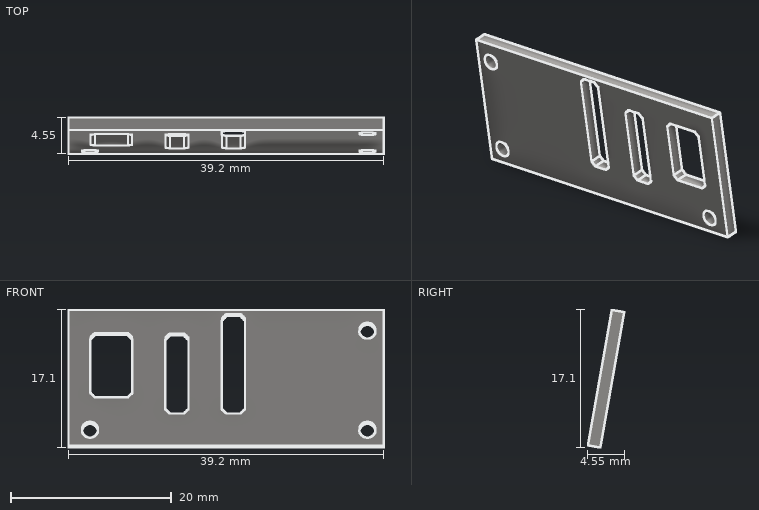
import cadquery as cq

PLATE_LENGTH = 39.23
PLATE_HEIGHT = 17.13
PLATE_THICKNESS = 1.6
LEAN_ANGLE = 10.0

HOLE_DIAMETER = 2.0
LEFT_HOLE_INSET = 2.7
RIGHT_HOLE_INSET = 2.05
LOWER_HOLE_HEIGHT = 2.0
UPPER_HOLE_HEIGHT = 14.5

WINDOW_CHAMFER = 0.55
SLOT_WIDTH = 2.85
SLOT_BOTTOM = 4.05
WIDE_WINDOW = {"center_x": 5.35, "bottom": 6.1, "width": 5.2, "height": 8.1}
SHORT_SLOT = {"center_x": 13.5, "bottom": SLOT_BOTTOM, "width": SLOT_WIDTH, "height": 10.1}
TALL_SLOT = {"center_x": 20.53, "bottom": SLOT_BOTTOM, "width": SLOT_WIDTH, "height": 12.55}


def make_plate():
    """Upright plate: lower left corner at X = Z = 0, thickness along -Y."""
    return cq.Workplane("XZ").rect(PLATE_LENGTH, PLATE_HEIGHT, centered=False).extrude(PLATE_THICKNESS)


def make_window(center_x, bottom, width, height):
    """Through cutter for one rectangular window with 45 degree corners."""
    return (
        cq.Workplane("XZ")
        .center(center_x, bottom + height / 2)
        .rect(width, height)
        .extrude(PLATE_THICKNESS)
        .edges("|Y")
        .chamfer(WINDOW_CHAMFER)
    )


def make_mounting_holes():
    """Through cutters for the three mounting holes."""
    right_hole_x = PLATE_LENGTH - RIGHT_HOLE_INSET
    centers = [
        (LEFT_HOLE_INSET, LOWER_HOLE_HEIGHT),
        (right_hole_x, LOWER_HOLE_HEIGHT),
        (right_hole_x, UPPER_HOLE_HEIGHT),
    ]
    return cq.Workplane("XZ").pushPoints(centers).circle(HOLE_DIAMETER / 2).extrude(PLATE_THICKNESS)


def lean_back(body):
    """Center the upright plate on the origin and tip its top edge toward +Y."""
    centered = body.translate((-PLATE_LENGTH / 2, PLATE_THICKNESS / 2, -PLATE_HEIGHT / 2))
    return centered.rotate((0, 0, 0), (1, 0, 0), -LEAN_ANGLE)


plate = make_plate().cut(make_mounting_holes())
for window in (WIDE_WINDOW, SHORT_SLOT, TALL_SLOT):
    plate = plate.cut(make_window(**window))

result = lean_back(plate)